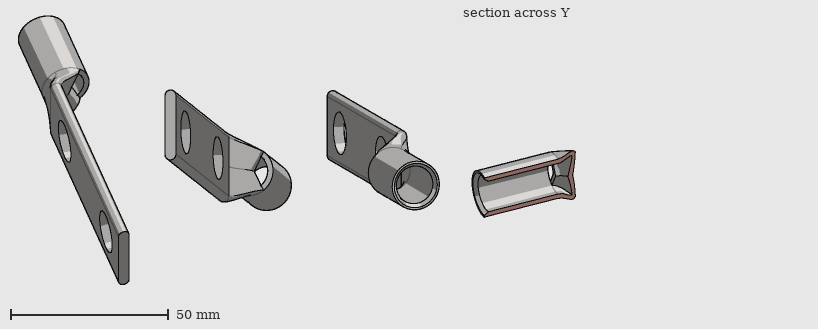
import cadquery as cq
import math

TOTAL_LENGTH = 108.0
BARREL_LENGTH = 25.5
TONGUE_START = 35.0

BARREL_RADIUS = 15.7 / 2
BORE_RADIUS = 6.0
WALL = BARREL_RADIUS - BORE_RADIUS
ENTRY_RADIUS = 7.1
ENTRY_DEPTH = 1.3

TONGUE_WIDTH = 22.6
TONGUE_THICKNESS = 3.6
TONGUE_FRONT_Y = -BARREL_RADIUS
TONGUE_MID_Y = TONGUE_FRONT_Y + TONGUE_THICKNESS / 2

HOLE_DIAMETER = 13.5
FIRST_HOLE_X = 50.0
HOLE_SPACING = 44.5

NOTCH_APEX_Y = 1.7
OUTER_LIP_Y = 4.7
INNER_LIP_Y = 2.8
SEAM_ANGLE = math.radians(115)
SLIT_THICKNESS = 0.2
NECK_STEPS = 4


def notched_circle(radius, apex_y, lip_y):
    """(Y, Z) of the upper half: apex, lip, side middle, seam, front middle."""
    lip_angle = math.acos(lip_y / radius)
    angles = [lip_angle, (lip_angle + SEAM_ANGLE) / 2, SEAM_ANGLE, math.pi]
    on_circle = [(radius * math.cos(a), radius * math.sin(a)) for a in angles]
    return [(apex_y, 0)] + on_circle


def flat_section(width, thickness):
    """The same five points on a flat section with fully rounded ends."""
    half = thickness / 2
    tangent_z = width / 2 - half
    return [
        (TONGUE_MID_Y + half, 0),
        (TONGUE_MID_Y + half, tangent_z),
        (TONGUE_MID_Y, width / 2),
        (TONGUE_MID_Y - half, tangent_z),
        (TONGUE_MID_Y - half, 0),
    ]


def section_wire(x, points, flat_front):
    """Closed wire at X = x, symmetric about Z = 0."""
    apex, lip, side, seam, front = [cq.Vector(x, y, z) for y, z in points]
    low_lip, low_side, low_seam = [cq.Vector(x, y, -z) for y, z in points[1:4]]
    if flat_front:
        front_edge = cq.Edge.makeLine(seam, low_seam)
    else:
        front_edge = cq.Edge.makeThreePointArc(seam, front, low_seam)
    return cq.Wire.assembleEdges([
        cq.Edge.makeLine(apex, lip),
        cq.Edge.makeThreePointArc(lip, side, seam),
        front_edge,
        cq.Edge.makeThreePointArc(low_seam, low_side, low_lip),
        cq.Edge.makeLine(low_lip, apex),
    ])


def neck_loft(start, end):
    """Loft from the barrel to the tongue along an S-curve."""
    wires = []
    for step in range(NECK_STEPS + 1):
        t = step / NECK_STEPS
        ease = t * t * (3 - 2 * t)
        x = BARREL_LENGTH + t * (TONGUE_START - BARREL_LENGTH)
        points = [
            (y0 + ease * (y1 - y0), z0 + ease * (z1 - z0))
            for (y0, z0), (y1, z1) in zip(start, end)
        ]
        wires.append(section_wire(x, points, step == NECK_STEPS))
    return cq.Workplane(cq.Solid.makeLoft(wires))


def make_barrel():
    barrel = cq.Workplane("YZ").circle(BARREL_RADIUS).circle(BORE_RADIUS).extrude(BARREL_LENGTH)
    entry = cq.Solid.makeCone(
        ENTRY_RADIUS, BORE_RADIUS, ENTRY_DEPTH, cq.Vector(0, 0, 0), cq.Vector(1, 0, 0)
    )
    return barrel.cut(cq.Workplane(entry))


def make_neck():
    outer = neck_loft(
        notched_circle(BARREL_RADIUS, NOTCH_APEX_Y, OUTER_LIP_Y),
        flat_section(TONGUE_WIDTH, TONGUE_THICKNESS),
    )
    cavity = neck_loft(
        notched_circle(BORE_RADIUS, NOTCH_APEX_Y - WALL, INNER_LIP_Y),
        flat_section(TONGUE_WIDTH - 2 * WALL, SLIT_THICKNESS),
    )
    return outer.cut(cavity)


def make_tongue():
    profile = section_wire(TONGUE_START, flat_section(TONGUE_WIDTH, TONGUE_THICKNESS), True)
    tongue = cq.Workplane(
        cq.Solid.extrudeLinear(profile, [], cq.Vector(TOTAL_LENGTH - TONGUE_START, 0, 0))
    )
    for hole_x in (FIRST_HOLE_X, FIRST_HOLE_X + HOLE_SPACING):
        hole = cq.Solid.makeCylinder(
            HOLE_DIAMETER / 2, TONGUE_THICKNESS,
            cq.Vector(hole_x, TONGUE_FRONT_Y, 0), cq.Vector(0, 1, 0),
        )
        tongue = tongue.cut(cq.Workplane(hole))
    return tongue


result = make_barrel().union(make_neck()).union(make_tongue())